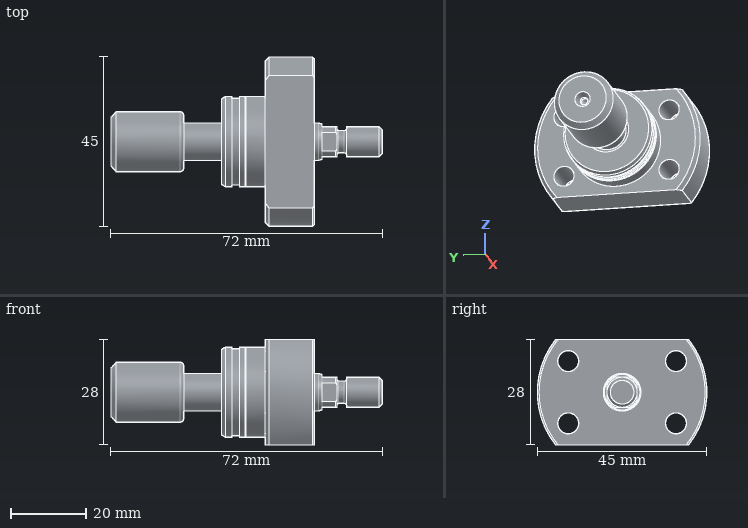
import cadquery as cq
import math


knob_diameter = 16.0
knob_length = 19.4
knob_chamfer_length = 1.45
knob_chamfer_depth = 1.6
knob_fillet = 1.1

countersink_diameter = 4.1
countersink_angle = 60
pilot_diameter = 2.0
pilot_depth = 3.0
drill_tip_angle = 120

shaft_diameter = 10.0
collar_end = 56.0
collar_taper_length = 1.0
collar_taper_depth = 0.3

wrench_flats = 8.0
wrench_end = 60.0
wrench_chamfer_length = 0.4
wrench_chamfer_depth = 0.3

neck_diameter = 6.0
neck_front_fillet = 0.4
neck_rear_fillet = 0.65
stud_diameter = 8.0
stud_start = 62.5
stud_end = 72
stud_chamfer = 0.9

hub_diameter = 24.0
cap_start = 29.3
cap_taper_length = 1.1
cap_taper_depth = 0.65
ring_groove_start = 32.1
ring_groove_width = 1.95
ring_groove_depth = 0.4
relief_width = 0.2
relief_depth = 0.2
mouth_diameter = 11.8

hub_start = 35.8
flange_start = 40.9
flange_end = 53.9
flange_diameter = 45.0
flange_height = 28.0
flange_front_chamfer = 1.1
flange_rear_chamfer = 0.5

mount_hole_diameter = 5.5
mount_circle_diameter = 33.0
mount_hole_angle = 30


def cylinder(diameter, start, end):
    """Cylinder along X between two stations."""
    return cq.Workplane("YZ", origin=(start, 0, 0)).circle(diameter / 2).extrude(end - start)


def turn(profile):
    """Revolve a closed (x, radius) profile about the X axis."""
    return profile.close().revolve(360, (0, 0, 0), (1, 0, 0))


def groove_cutter(outer_diameter, start, width, depth):
    """Ring to cut from a cylinder to leave a rectangular groove."""
    outer = cylinder(outer_diameter, start, start + width)
    return outer.cut(cylinder(outer_diameter - 2 * depth, start, start + width))


def make_knob():
    radius = knob_diameter / 2
    profile = (
        cq.Workplane("XY")
        .lineTo(0, radius - knob_chamfer_depth)
        .lineTo(knob_chamfer_length, radius)
        .lineTo(knob_length - knob_fillet, radius)
        .radiusArc((knob_length, radius - knob_fillet), knob_fillet)
        .lineTo(knob_length, 0)
    )
    return turn(profile)


def make_centre_hole():
    sink_radius = countersink_diameter / 2
    pilot_radius = pilot_diameter / 2
    sink_depth = (sink_radius - pilot_radius) / math.tan(math.radians(countersink_angle / 2))
    tip_length = pilot_radius / math.tan(math.radians(drill_tip_angle / 2))
    profile = (
        cq.Workplane("XY")
        .lineTo(0, sink_radius)
        .lineTo(sink_depth, pilot_radius)
        .lineTo(pilot_depth, pilot_radius)
        .lineTo(pilot_depth + tip_length, 0)
    )
    return turn(profile)


def make_shaft():
    radius = shaft_diameter / 2
    profile = (
        cq.Workplane("XY")
        .moveTo(knob_length, 0)
        .lineTo(knob_length, radius)
        .lineTo(collar_end - collar_taper_length, radius)
        .lineTo(collar_end, radius - collar_taper_depth)
        .lineTo(collar_end, 0)
    )
    return turn(profile)


def make_wrench_section():
    corner_radius = shaft_diameter / 2 - collar_taper_depth
    profile = (
        cq.Workplane("XY")
        .moveTo(collar_end, 0)
        .lineTo(collar_end, corner_radius)
        .lineTo(wrench_end - wrench_chamfer_length, corner_radius)
        .lineTo(wrench_end, corner_radius - wrench_chamfer_depth)
        .lineTo(wrench_end, 0)
    )
    square = (
        cq.Workplane("YZ", origin=(collar_end, 0, 0))
        .rect(wrench_flats, wrench_flats)
        .extrude(wrench_end - collar_end)
    )
    return turn(profile).intersect(square)


def make_stud():
    neck_radius = neck_diameter / 2
    radius = stud_diameter / 2
    profile = (
        cq.Workplane("XY")
        .moveTo(wrench_end, 0)
        .lineTo(wrench_end, neck_radius + neck_front_fillet)
        .radiusArc((wrench_end + neck_front_fillet, neck_radius), -neck_front_fillet)
        .lineTo(stud_start - neck_rear_fillet, neck_radius)
        .radiusArc((stud_start, neck_radius + neck_rear_fillet), -neck_rear_fillet)
        .lineTo(stud_start, radius)
        .lineTo(stud_end - stud_chamfer, radius)
        .lineTo(stud_end, radius - stud_chamfer)
        .lineTo(stud_end, 0)
    )
    return turn(profile)


def make_rod():
    solid = make_knob().union(make_shaft()).union(make_wrench_section()).union(make_stud())
    return solid.cut(make_centre_hole())


def make_mouth():
    """45 degree countersink that opens the cap bore around the shaft."""
    bore_radius = shaft_diameter / 2
    mouth_radius = mouth_diameter / 2
    mouth_depth = mouth_radius - bore_radius
    profile = (
        cq.Workplane("XY")
        .moveTo(cap_start, 0)
        .lineTo(cap_start, mouth_radius)
        .lineTo(cap_start + mouth_depth, bore_radius)
        .lineTo(cap_start + mouth_depth, 0)
    )
    return turn(profile)


def make_front_cap():
    radius = hub_diameter / 2
    profile = (
        cq.Workplane("XY")
        .moveTo(cap_start, 0)
        .lineTo(cap_start, radius - cap_taper_depth)
        .lineTo(cap_start + cap_taper_length, radius)
        .lineTo(hub_start, radius)
        .lineTo(hub_start, 0)
    )
    groove = groove_cutter(hub_diameter, ring_groove_start, ring_groove_width, ring_groove_depth)
    relief = groove_cutter(hub_diameter, hub_start - relief_width, relief_width, relief_depth)
    bore = cylinder(shaft_diameter, cap_start, hub_start)
    return turn(profile).cut(groove).cut(relief).cut(bore).cut(make_mouth())


def make_flange():
    disc = (
        cylinder(flange_diameter, flange_start, flange_end)
        .faces("<X").chamfer(flange_front_chamfer)
        .faces(">X").chamfer(flange_rear_chamfer)
    )
    middle = (flange_start + flange_end) / 2
    slab = cq.Workplane("XY", origin=(middle, 0, 0)).box(
        flange_end - flange_start, flange_diameter, flange_height
    )
    return disc.intersect(slab)


def make_mount_holes():
    angle = math.radians(mount_hole_angle)
    spacing_y = mount_circle_diameter * math.cos(angle)
    spacing_z = mount_circle_diameter * math.sin(angle)
    return (
        cq.Workplane("YZ", origin=(flange_start, 0, 0))
        .rarray(spacing_y, spacing_z, 2, 2)
        .circle(mount_hole_diameter / 2)
        .extrude(flange_end - flange_start)
    )


def make_housing():
    hub = cylinder(hub_diameter, hub_start, flange_start)
    bore = cylinder(shaft_diameter, hub_start, flange_end)
    return hub.union(make_flange()).cut(make_mount_holes()).cut(bore)


rod = make_rod()
front_cap = make_front_cap()
housing = make_housing()

result = cq.Compound.makeCompound([rod.val(), front_cap.val(), housing.val()])